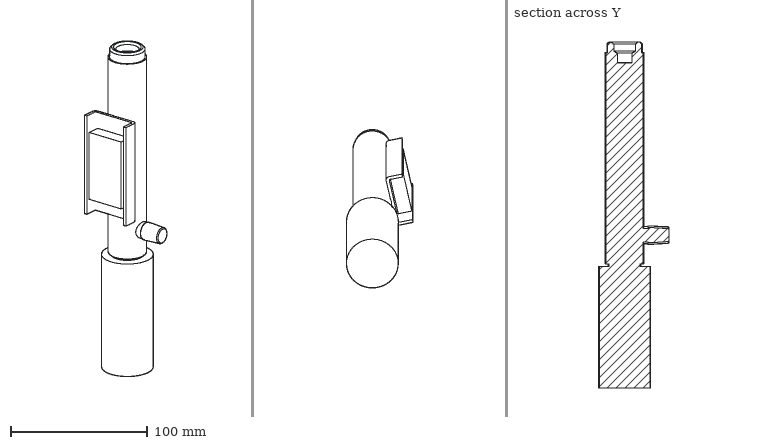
import cadquery as cq

total_height = 254.0

body_diameter = 38.0
body_height = 89.5
neck_diameter = 24.1
neck_height = 1.5

tube_diameter = 28.5
tube_edge_chamfer = 0.5
tube_bottom = body_height + neck_height
collar_diameter = 26.2
collar_height = 8.0
collar_chamfer = 1.5
tube_top = total_height - collar_height

countersink_diameter = 20.3
countersink_depth = 1.65
mouth_diameter = 17.0
mouth_depth = 6.5
bore_diameter = 12.7
seat_depth = 1.5
bore_depth = 15.2

bracket_width = 38.5
bracket_back = -14.0
bracket_front = -26.5
bracket_bottom = 125.2
bracket_top = 203.5
bracket_wall = 2.3
bracket_corner_radius = 2.8
block_width = 29.7
block_height = 53.0
block_center_z = (bracket_bottom + bracket_top) / 2

connector_z = 112.3
connector_diameter = 12.7
connector_tip = 32.8
tip_diameter = 12.2
tip_chamfer = 0.8
ring_diameter = 13.5
ring_start = 17.3
ring_width = 3.8


def cylinder(diameter, bottom, top):
    """Vertical cylinder on the main axis."""
    return cq.Workplane("XY").workplane(offset=bottom).circle(diameter / 2).extrude(top - bottom)


def connector_cylinder(diameter, start, end):
    """Cylinder on the connector axis."""
    plane = cq.Workplane("YZ", origin=(start, 0, connector_z))
    return plane.circle(diameter / 2).extrude(end - start)


def slab(width, back, front, bottom, top):
    """Box centred on X between the given Y and Z limits."""
    box = cq.Workplane("XY").box(width, back - front, top - bottom)
    return box.translate((0, (back + front) / 2, (bottom + top) / 2))


def make_column():
    body = cylinder(body_diameter, 0, body_height)
    neck = cylinder(neck_diameter, body_height, tube_bottom)
    tube = cylinder(tube_diameter, tube_bottom, tube_top).faces("<Z").chamfer(tube_edge_chamfer)
    collar = cylinder(collar_diameter, tube_top, total_height).faces(">Z").chamfer(collar_chamfer)
    return body.union(neck).union(tube).union(collar)


def make_bore():
    """Half section of the bore, revolved about Z."""
    mouth_floor = total_height - mouth_depth
    seat_floor = mouth_floor - seat_depth
    bore_floor = total_height - bore_depth
    section = (
        cq.Workplane("XZ")
        .moveTo(0, total_height)
        .lineTo(countersink_diameter / 2, total_height)
        .lineTo(mouth_diameter / 2, total_height - countersink_depth)
        .lineTo(mouth_diameter / 2, mouth_floor)
        .lineTo(bore_diameter / 2, seat_floor)
        .lineTo(bore_diameter / 2, bore_floor)
        .lineTo(0, bore_floor)
        .close()
    )
    return section.revolve(360, (0, 0, 0), (0, 1, 0))


def make_bracket():
    outside = slab(bracket_width, bracket_back, bracket_front, bracket_bottom, bracket_top)
    outside = outside.edges("|Z and >Y").fillet(bracket_corner_radius)
    inner_radius = bracket_corner_radius - bracket_wall
    web_front = bracket_back - bracket_wall
    channel_width = bracket_width - 2 * bracket_wall
    channel = slab(channel_width, web_front, bracket_front, bracket_bottom, bracket_top)
    channel = channel.edges("|Z and >Y").fillet(inner_radius)
    block_bottom = block_center_z - block_height / 2
    block_top = block_center_z + block_height / 2
    block = slab(block_width, web_front, bracket_front, block_bottom, block_top)
    return outside.cut(channel).union(block)


def make_connector():
    """Shank, raised ring and a plug that tapers to a chamfered tip."""
    ring_end = ring_start + ring_width
    shank = connector_cylinder(connector_diameter, 0, ring_start)
    ring = connector_cylinder(ring_diameter, ring_start, ring_end)
    plane = cq.Workplane("YZ", origin=(ring_end, 0, connector_z))
    plug_length = connector_tip - ring_end
    plug = plane.circle(ring_diameter / 2).workplane(offset=plug_length).circle(tip_diameter / 2).loft()
    plug = plug.faces(">X").chamfer(tip_chamfer)
    return shank.union(ring).union(plug)


result = make_column().union(make_connector()).union(make_bracket()).cut(make_bore())